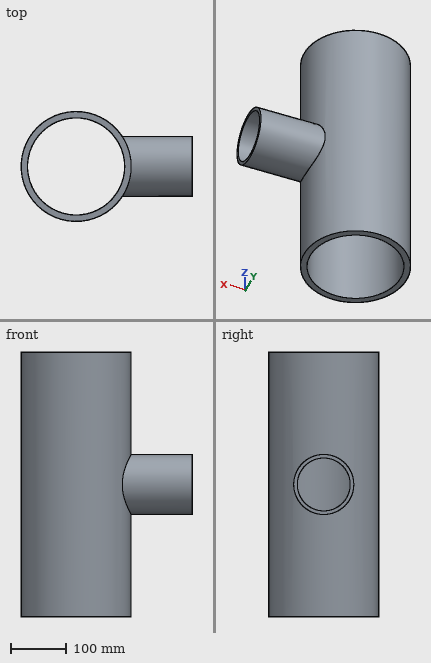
import cadquery as cq

main_length = 481.0
main_diameter = 200.0
main_radius = main_diameter / 2
main_wall = 12.0

overall_width = 311.0
branch_reach = overall_width - main_radius
branch_diameter = 109.0
branch_wall = main_wall * branch_diameter / main_diameter


def main_cylinder(diameter):
    """Upright cylinder over the full height of the main pipe."""
    return cq.Workplane("XY").circle(diameter / 2).extrude(main_length / 2, both=True)


def branch_cylinder(diameter):
    """Horizontal cylinder from the main axis to the open branch end."""
    return cq.Workplane("YZ").circle(diameter / 2).extrude(branch_reach)


outside = main_cylinder(main_diameter).union(branch_cylinder(branch_diameter))
main_bore = main_cylinder(main_diameter - 2 * main_wall)
branch_bore = branch_cylinder(branch_diameter - 2 * branch_wall)

result = outside.cut(main_bore).cut(branch_bore)